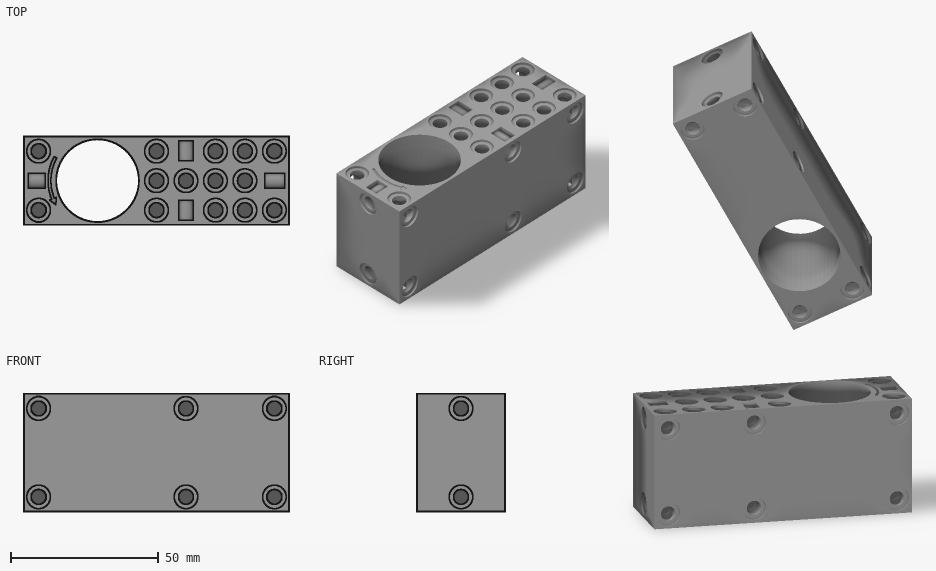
import cadquery as cq
import math

length = 90.0
pitch = length / 9
width = 3 * pitch
height = 4 * pitch
edge_offset = pitch / 2

hole_diameter = 5.0
counterbore_diameter = 8.0
counterbore_depth = 0.8
hole_depth = 9.0

bore_diameter = 28.0
bore_x = 2.5 * pitch
bore_y = width / 2

window_width = hole_diameter
window_margin = 1.5
left_window_length = 5.7
window_length = 6.75
window_floor_radius = 3.6
window_crown_depth = 1.0

arrow_depth = 0.5
arrow_inner_radius = 15.8
arrow_outer_radius = 16.8
arrow_tail_angle = 151.0
arrow_neck_angle = 202.0
arrow_tip_angle = 210.0
arrow_head_overhang = 0.7


def cell_center(index):
    """Coordinate of the center of a cell along any axis."""
    return edge_offset + index * pitch


def counterbored_hole(point, direction):
    """Cutter entering a face at the point and running along the inward direction."""
    start = cq.Vector(*point)
    inward = cq.Vector(*direction)
    hole = cq.Solid.makeCylinder(hole_diameter / 2, hole_depth, start, inward)
    recess = cq.Solid.makeCylinder(counterbore_diameter / 2, counterbore_depth, start, inward)
    return hole.fuse(recess)


def window(face_point, direction, window_size):
    """Cutter open at the top, set in from a side face, leaving an arched floor."""
    start = cq.Vector(*face_point)
    inward = cq.Vector(*direction)
    center = start + inward * (window_margin + window_size / 2)
    opening_plane = cq.Plane(origin=center, xDir=inward, normal=(0, 0, 1))
    opening = cq.Workplane(opening_plane).rect(window_size, window_width).extrude(edge_offset)
    floor_rise = edge_offset - window_crown_depth - window_floor_radius
    floor_center = start + cq.Vector(0, 0, floor_rise)
    floor_plane = cq.Plane(origin=floor_center, xDir=(0, 0, -1), normal=inward)
    floor = cq.Workplane(floor_plane).circle(window_floor_radius).extrude(pitch)
    return opening.cut(floor).val()


def bore_point(radius, angle):
    """Point at a radius and angle about the bore axis."""
    radians = math.radians(angle)
    return (bore_x + radius * math.cos(radians), bore_y + radius * math.sin(radians))


def arrow():
    """Curved arrow concentric with the bore, pointing counterclockwise."""
    mid_radius = (arrow_inner_radius + arrow_outer_radius) / 2
    mid_angle = (arrow_tail_angle + arrow_neck_angle) / 2
    return (
        cq.Workplane("XY", origin=(0, 0, height - arrow_depth))
        .moveTo(*bore_point(arrow_outer_radius, arrow_tail_angle))
        .threePointArc(
            bore_point(arrow_outer_radius, mid_angle),
            bore_point(arrow_outer_radius, arrow_neck_angle),
        )
        .lineTo(*bore_point(arrow_outer_radius + arrow_head_overhang, arrow_neck_angle))
        .lineTo(*bore_point(mid_radius, arrow_tip_angle))
        .lineTo(*bore_point(arrow_inner_radius - arrow_head_overhang, arrow_neck_angle))
        .lineTo(*bore_point(arrow_inner_radius, arrow_neck_angle))
        .threePointArc(
            bore_point(arrow_inner_radius, mid_angle),
            bore_point(arrow_inner_radius, arrow_tail_angle),
        )
        .close()
        .extrude(arrow_depth)
    )


end_columns = (0, 8)
end_layers = (0, 3)
outer_rows = (0, 2)
middle_row = 1
middle_column = 5

cutters = []

top_cells = [(column, row) for column in (0, 4, 6, 7, 8) for row in outer_rows]
top_cells += [(column, middle_row) for column in (4, 5, 6, 7)]
for column, row in top_cells:
    top_point = (cell_center(column), cell_center(row), height)
    cutters.append(counterbored_hole(top_point, (0, 0, -1)))

for column in end_columns:
    for row in outer_rows:
        bottom_point = (cell_center(column), cell_center(row), 0)
        cutters.append(counterbored_hole(bottom_point, (0, 0, 1)))

for layer in end_layers:
    z = cell_center(layer)
    cutters.append(counterbored_hole((0, bore_y, z), (1, 0, 0)))
    cutters.append(counterbored_hole((length, bore_y, z), (-1, 0, 0)))
    for column in (*end_columns, middle_column):
        x = cell_center(column)
        cutters.append(counterbored_hole((x, 0, z), (0, 1, 0)))
        cutters.append(counterbored_hole((x, width, z), (0, -1, 0)))

top_layer_z = cell_center(end_layers[-1])
window_x = cell_center(middle_column)
cutters.append(window((0, bore_y, top_layer_z), (1, 0, 0), left_window_length))
cutters.append(window((length, bore_y, top_layer_z), (-1, 0, 0), window_length))
cutters.append(window((window_x, 0, top_layer_z), (0, 1, 0), window_length))
cutters.append(window((window_x, width, top_layer_z), (0, -1, 0), window_length))

block = cq.Workplane("XY").box(length, width, height, centered=False)
bore = cq.Workplane("XY").center(bore_x, bore_y).circle(bore_diameter / 2).extrude(height)
block = block.cut(bore).cut(arrow())
result = cq.Workplane(block.val().cut(*cutters))